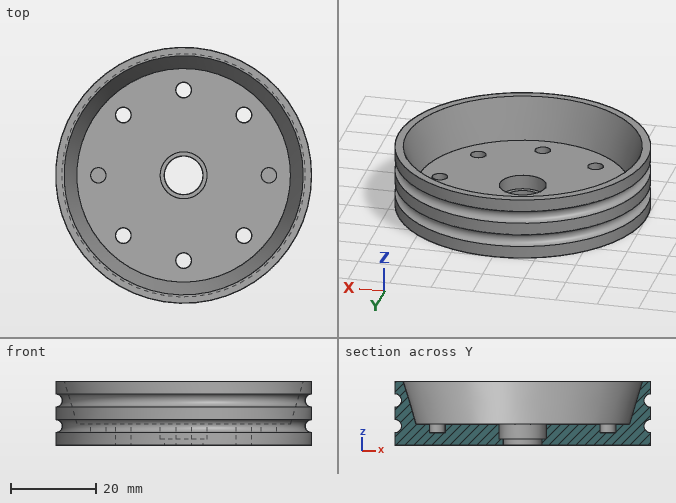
import cadquery as cq

outer_diameter = 60.0
height = 15.0
outer_radius = outer_diameter / 2

band_height = height / 5
groove_radius = band_height / 2
groove_heights = [1.5 * band_height, 3.5 * band_height]

cavity_top_radius = 28.0
cavity_floor_radius = 25.0
cavity_depth = 10.0
floor_height = height - cavity_depth

bore_diameter = 9.0
seat_diameter = 11.0
seat_depth = 3.5

hole_diameter = 3.6
hole_circle_radius = 20.0
hole_count = 8
blind_hole_depth = 2.0


def make_body():
    """Revolve the disc with its tapered cavity about the Z axis."""
    return (
        cq.Workplane("XZ")
        .lineTo(outer_radius, 0)
        .lineTo(outer_radius, height)
        .lineTo(cavity_top_radius, height)
        .lineTo(cavity_floor_radius, floor_height)
        .lineTo(0, floor_height)
        .close()
        .revolve(360, (0, 0), (0, 1))
    )


def make_groove(center_height):
    """Ring of circular section centred on the outer wall."""
    return (
        cq.Workplane("XZ")
        .center(outer_radius, center_height)
        .circle(groove_radius)
        .revolve(360, (-outer_radius, 0), (-outer_radius, 1))
    )


def make_floor_cut(diameter, depth):
    """Cylinder reaching down from the cavity floor."""
    return cq.Workplane("XY").workplane(offset=floor_height).circle(diameter / 2).extrude(-depth)


result = make_body()

for groove_height in groove_heights:
    result = result.cut(make_groove(groove_height))

result = result.cut(make_floor_cut(bore_diameter, floor_height))
result = result.cut(make_floor_cut(seat_diameter, seat_depth))

for index in range(hole_count):
    on_x_axis = index % (hole_count // 2) == 0
    depth = blind_hole_depth if on_x_axis else floor_height
    hole = make_floor_cut(hole_diameter, depth).translate((hole_circle_radius, 0, 0))
    result = result.cut(hole.rotate((0, 0, 0), (0, 0, 1), index * 360 / hole_count))